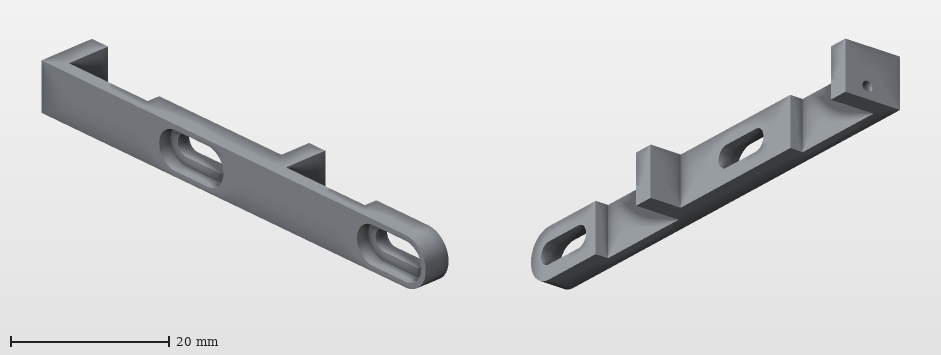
import cadquery as cq

length = 70.8
height = 7.4
tip_radius = height / 2
tip_center_x = length - tip_radius

post_depth = 8.8
pad_thickness = 4.0
web_thickness = 2.0
post_width = 3.0
web_length = 14.5
bay_pitch = 40.0

slot_travel = 6.0
slot_width = 3.2
counterbore_width = 5.8
counterbore_depth = 2.0
slot_spacing = 36.45
end_slot_x = tip_center_x - slot_travel / 2
slot_positions = (end_slot_x - slot_spacing, end_slot_x)

pin_diameter = 1.55
pin_y = 5.25
pin_z = 1.8


def box(x, y, size_x, size_y):
    """Full-height block with its lower corner at (x, y, 0)."""
    return cq.Workplane("XY").box(size_x, size_y, height, centered=False).translate((x, y, 0))


def slot(center_x, width, depth):
    """Round-ended slot cut running from the front face toward +Y."""
    return (
        cq.Workplane("XZ", origin=(center_x, 0, height / 2))
        .slot2D(slot_travel + width, width)
        .extrude(-depth)
    )


bar = box(0, 0, tip_center_x, pad_thickness)
tip = (
    cq.Workplane("XZ", origin=(tip_center_x, 0, height / 2))
    .circle(tip_radius)
    .extrude(-pad_thickness)
)
result = bar.union(tip)

for bay_x in (0, bay_pitch):
    result = result.union(box(bay_x, 0, post_width, post_depth))
    result = result.cut(box(bay_x + post_width, web_thickness, web_length, post_depth))

for slot_x in slot_positions:
    result = result.cut(slot(slot_x, slot_width, pad_thickness))
    result = result.cut(slot(slot_x, counterbore_width, counterbore_depth))

pin_hole = (
    cq.Workplane("YZ", origin=(0, pin_y, pin_z))
    .circle(pin_diameter / 2)
    .extrude(post_width)
)
result = result.cut(pin_hole)